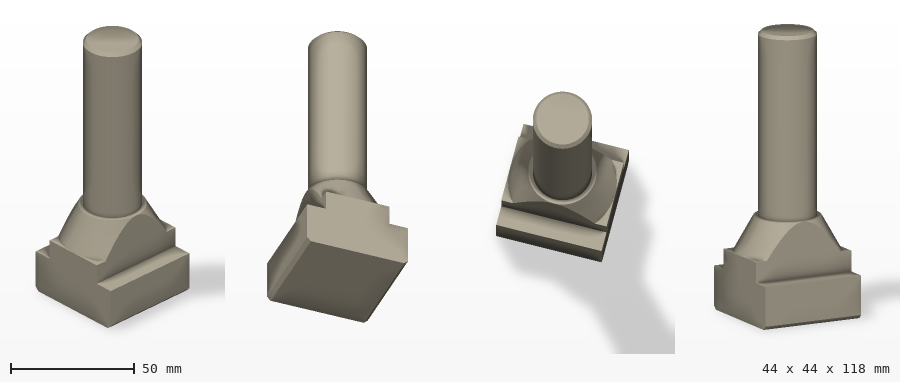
import cadquery as cq

total_height = 118.0
head_size = 44.0
head_height = 18.0
head_chamfer = 1.7
neck_width = 27.7
neck_block_top = 26.7
cone_top = 41.2
shaft_diameter = 24.1
tip_chamfer_radial = 1.4
tip_chamfer_length = 1.4


def make_head():
    """Square head with its two lower side edges chamfered."""
    head = cq.Workplane("XY").box(head_size, head_size, head_height, centered=(True, True, False))
    return head.edges("<Z and |Y").chamfer(head_chamfer)


def make_neck():
    """Neck with straight sides, its upper part tapering as a cone trimmed to the neck width."""
    neck_height = neck_block_top - head_height
    block = (
        cq.Workplane("XY")
        .workplane(offset=head_height)
        .box(neck_width, head_size, neck_height, centered=(True, True, False))
    )
    cone = cq.Workplane("XY").add(
        cq.Solid.makeCone(
            head_size / 2, neck_width / 2, cone_top - neck_block_top, pnt=cq.Vector(0, 0, neck_block_top)
        )
    )
    side_limits = cq.Workplane("XY").box(neck_width, head_size, total_height, centered=(True, True, False))
    return block.union(cone.intersect(side_limits))


def make_shaft():
    """Round shaft with a chamfered free end."""
    shaft = (
        cq.Workplane("XY")
        .workplane(offset=cone_top)
        .circle(shaft_diameter / 2)
        .extrude(total_height - cone_top)
    )
    return shaft.faces(">Z").chamfer(tip_chamfer_length, tip_chamfer_radial)


result = make_head().union(make_neck()).union(make_shaft())